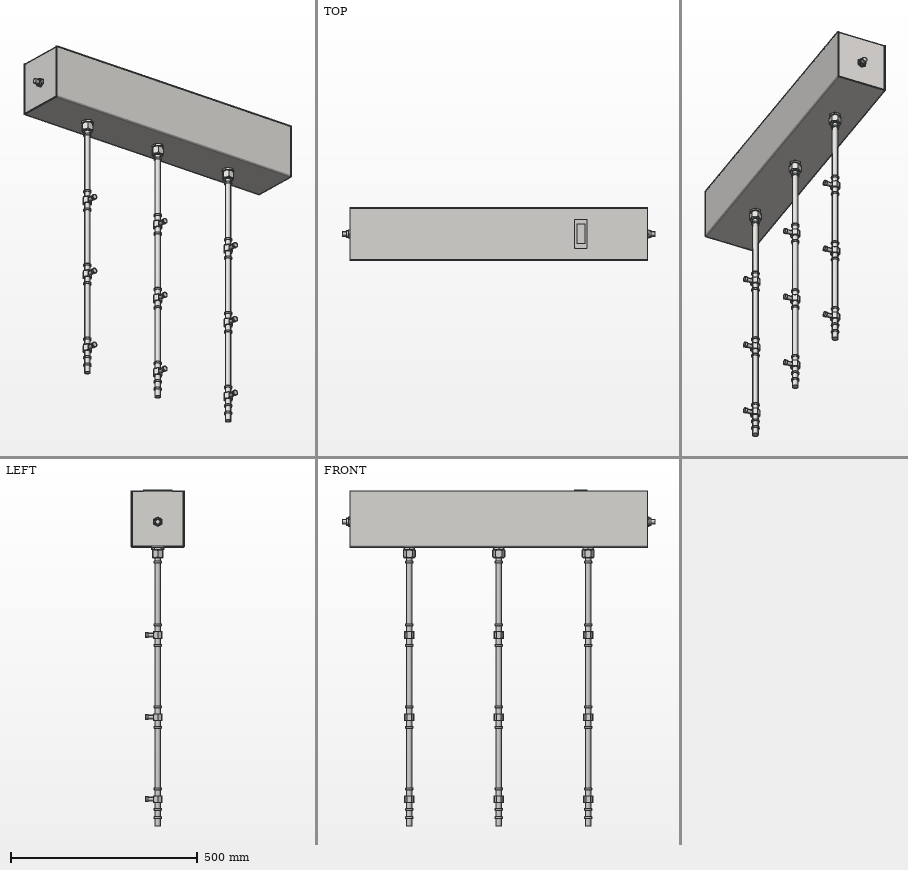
import cadquery as cq
import math

box_length = 800.0
box_width = 143.0
box_height = 152.0
sheet_thickness = 3.2
sheet_bend_radius = 3.0
fill_inset = 1.0

plate_x = 220.0
plate_size_x = 34.0
plate_size_y = 78.0
plate_rise = 3.0
plate_corner_radius = 3.0
window_size_x = 22.0
window_size_y = 52.0
window_depth = 2.0

inlet_z = 69.0
inlet_reach = 20.0
inlet_hex_flats = 22.0
inlet_hex_reach = 3.0
inlet_collar_diameter = 19.0
inlet_collar_reach = 8.0
inlet_stem_diameter = 13.0

overall_height = 903.0
pipe_count = 3
pipe_pitch = 240.0
pipe_diameter = 15.0
pipe_end_z = box_height + plate_rise - overall_height
bead_radius = 3.0
outlet_bead_z = -40.0
end_bead_z = -726.0

flange_flats = 28.0
flange_height = 5.0
nut_flats = 28.0
nut_bottom_z = -29.0
nut_chamfer = 4.0

valve_count = 3
first_valve_z = -236.0
valve_pitch = 220.0
valve_flats = 22.0
valve_height = 18.0
valve_bead_offset = 27.5
handle_reach = 32.5
handle_knob_length = 6.0
handle_knob_diameter = 13.5
handle_stem_diameter = 11.0


def hex_corners(flats):
    """Distance across the corners of a hexagon given across its flats."""
    return flats / math.cos(math.pi / 6)


def make_housing():
    sheet = cq.Workplane("XY").box(box_length, box_width, box_height, centered=(True, True, False))
    sheet = sheet.edges("|X and <Z").fillet(sheet_bend_radius)
    fill_width = box_width - 2 * sheet_thickness
    channel_height = box_height - sheet_thickness
    fill_length = box_length - 2 * fill_inset
    fill_height = channel_height - fill_inset
    channel = (
        cq.Workplane("XY", origin=(0, 0, sheet_thickness))
        .box(box_length, fill_width, channel_height, centered=(True, True, False))
    )
    fill = (
        cq.Workplane("XY", origin=(0, 0, sheet_thickness))
        .box(fill_length, fill_width, fill_height, centered=(True, True, False))
    )
    return sheet.cut(channel).union(fill)


def make_switch_plate():
    plate_height = plate_rise + fill_inset
    return (
        cq.Workplane("XY", origin=(plate_x, 0, box_height - fill_inset))
        .rect(plate_size_x, plate_size_y)
        .extrude(plate_height)
        .edges("|Z").fillet(plate_corner_radius)
        .faces(">Z").workplane()
        .rect(window_size_x, window_size_y)
        .cutBlind(-window_depth)
    )


def make_inlet(side):
    """Stepped fitting on the +X end (side = 1) or the -X end (side = -1)."""
    def section():
        end_plate_x = side * (box_length / 2 - fill_inset)
        return cq.Workplane("YZ", origin=(end_plate_x, 0, inlet_z))

    hexagon = (
        section()
        .transformed(rotate=(0, 0, 90))
        .polygon(6, hex_corners(inlet_hex_flats))
        .extrude(side * (inlet_hex_reach + fill_inset))
    )
    collar = section().circle(inlet_collar_diameter / 2).extrude(side * (inlet_collar_reach + fill_inset))
    stem = section().circle(inlet_stem_diameter / 2).extrude(side * (inlet_reach + fill_inset))
    return hexagon.union(collar).union(stem)


def make_bead(z):
    """Half-round ring standing on the pipe surface."""
    pipe_radius = pipe_diameter / 2
    return (
        cq.Workplane("XZ")
        .moveTo(0, z - bead_radius)
        .lineTo(pipe_radius, z - bead_radius)
        .threePointArc((pipe_radius + bead_radius, z), (pipe_radius, z + bead_radius))
        .lineTo(0, z + bead_radius)
        .close()
        .revolve(360, (0, 0, 0), (0, 1, 0))
    )


def make_outlet_joint():
    """Hex flange with corners along Y and, below it, a union nut with corners along X."""
    flange = (
        cq.Workplane("XY")
        .transformed(rotate=(0, 0, 90))
        .polygon(6, hex_corners(flange_flats))
        .extrude(-flange_height)
    )
    nut_height = -flange_height - nut_bottom_z
    nut_diameter = hex_corners(nut_flats)
    nut = cq.Workplane("XY", origin=(0, 0, nut_bottom_z)).polygon(6, nut_diameter).extrude(nut_height)
    bevel = (
        cq.Workplane("XY", origin=(0, 0, nut_bottom_z))
        .circle(nut_diameter / 2)
        .extrude(nut_height)
        .edges().chamfer(nut_chamfer)
    )
    return flange.union(nut.intersect(bevel))


def make_valve(z):
    """Hex body between two beads, with a knobbed handle toward +Y."""
    body = (
        cq.Workplane("XY", origin=(0, 0, z - valve_height / 2))
        .polygon(6, hex_corners(valve_flats))
        .extrude(valve_height)
    )
    stem = cq.Workplane("XZ", origin=(0, 0, z)).circle(handle_stem_diameter / 2).extrude(-handle_reach)
    knob = (
        cq.Workplane("XZ", origin=(0, handle_reach, z))
        .circle(handle_knob_diameter / 2)
        .extrude(handle_knob_length)
    )
    valve = body.union(stem).union(knob)
    for side in (-1, 1):
        valve = valve.union(make_bead(z + side * valve_bead_offset))
    return valve


def make_hanging_pipe():
    pipe = cq.Workplane("XY").circle(pipe_diameter / 2).extrude(pipe_end_z)
    pipe = pipe.union(make_outlet_joint())
    for bead_z in (outlet_bead_z, end_bead_z):
        pipe = pipe.union(make_bead(bead_z))
    for index in range(valve_count):
        pipe = pipe.union(make_valve(first_valve_z - index * valve_pitch))
    return pipe


result = make_housing().union(make_switch_plate())
for end in (-1, 1):
    result = result.union(make_inlet(end))
hanging_pipe = make_hanging_pipe()
for index in range(pipe_count):
    pipe_x = (index - (pipe_count - 1) / 2) * pipe_pitch
    result = result.union(hanging_pipe.translate((pipe_x, 0, 0)))